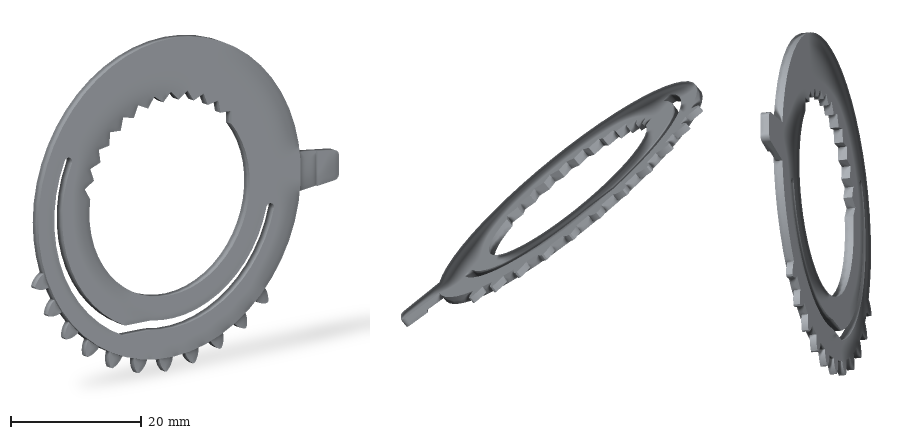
import cadquery as cq
import math

plate_thickness = 1.4
thin_thickness = 1.05

outer_radius = 25.35
hole_radius = 15.5

notch_count = 12
notch_pitch = 11.0
notch_first_angle = 14.0
notch_tip_radius = 16.9

overlap = 0.6

tooth_count = 11
tooth_pitch = 360 / 32
tooth_middle_angle = 282.1
tooth_tip_radius = 27.6
tooth_base_half_width = 1.3
tooth_flank_radius = 26.7
tooth_flank_half_width = 0.9
tooth_tip_half_width = 0.2

slot_width = 1.5
short_arc_radius = 20.0
long_arc_radius = short_arc_radius + slot_width
short_arc_end_angle = 193.8
long_arc_end_angle = 24.4 + 360
level_stretch_height = -19.65

tab_tip = 32.75
tab_tip_half_width = 2.3
tab_root = 25.1
tab_root_half_width = 3.15
tab_inner_end = 23.4
tab_corner_radius = 0.95
tab_neck_end = 28.5

face = cq.Plane(origin=(0, 0, 0), xDir=(0, -1, 0), normal=(-1, 0, 0))


def polar(radius, angle):
    """Face-plane point at a radius and an angle in degrees."""
    turn = math.radians(angle)
    return (radius * math.cos(turn), radius * math.sin(turn))


def angle_at_height(radius, height):
    """Angle, in the lower -Y quarter, where a circle reaches a height."""
    return 360 + math.degrees(math.asin(height / radius))


def plate(outline, thickness):
    """Extrude a face-plane outline from the -X face toward +X."""
    return outline.extrude(-thickness)


def make_tooth(angle):
    """One gear tooth with convex flanks, pointing outward at the given angle."""
    base = outer_radius - overlap
    outline = (
        cq.Workplane(face.rotated((0, 0, angle)))
        .moveTo(base, -tooth_base_half_width)
        .lineTo(outer_radius, -tooth_base_half_width)
        .threePointArc(
            (tooth_flank_radius, -tooth_flank_half_width),
            (tooth_tip_radius, -tooth_tip_half_width),
        )
        .lineTo(tooth_tip_radius, tooth_tip_half_width)
        .threePointArc(
            (tooth_flank_radius, tooth_flank_half_width),
            (outer_radius, tooth_base_half_width),
        )
        .lineTo(base, tooth_base_half_width)
        .close()
    )
    return plate(outline, thin_thickness)


def make_tab():
    """Tapered tab with rounded tip corners and a neck thinned from the +X face."""
    outline = cq.Workplane(face).polyline([
        (-tab_inner_end, -tab_root_half_width),
        (-tab_root, -tab_root_half_width),
        (-tab_tip, -tab_tip_half_width),
        (-tab_tip, tab_tip_half_width),
        (-tab_root, tab_root_half_width),
        (-tab_inner_end, tab_root_half_width),
    ]).close()
    tab = plate(outline, plate_thickness)
    tab = tab.faces(">Y").edges("|X").fillet(tab_corner_radius)
    neck_relief = cq.Workplane("XY").box(
        plate_thickness - thin_thickness,
        tab_neck_end - tab_inner_end,
        2 * tab_root_half_width,
        centered=(False, False, True),
    )
    return tab.cut(neck_relief.translate((thin_thickness, tab_inner_end, 0)))


def make_notch(angle):
    """Right-angled V whose tip points outward; it meets its neighbours at the hole rim."""
    reach = notch_tip_radius - hole_radius + overlap
    outline = cq.Workplane(face.rotated((0, 0, angle))).polyline([
        (notch_tip_radius, 0),
        (notch_tip_radius - reach, reach),
        (notch_tip_radius - reach, -reach),
    ]).close()
    return plate(outline, plate_thickness)


def make_slot():
    """Slot of constant width that steps outward from the short arc to the long arc."""
    half = slot_width / 2
    short_inner = short_arc_radius - half
    short_outer = short_arc_radius + half
    long_inner = long_arc_radius - half
    long_outer = long_arc_radius + half
    upper = level_stretch_height + half
    lower = level_stretch_height - half

    def arc(outline, radius, start, end):
        return outline.threePointArc(polar(radius, (start + end) / 2), polar(radius, end))

    outline = cq.Workplane(face).moveTo(*polar(short_outer, short_arc_end_angle))
    outline = arc(outline, short_outer, short_arc_end_angle, angle_at_height(short_outer, lower))
    outline = outline.lineTo(*polar(long_outer, angle_at_height(long_outer, lower)))
    outline = arc(outline, long_outer, angle_at_height(long_outer, lower), long_arc_end_angle)
    outline = outline.lineTo(*polar(long_inner, long_arc_end_angle))
    outline = arc(outline, long_inner, long_arc_end_angle, angle_at_height(long_inner, upper))
    outline = outline.lineTo(*polar(short_inner, angle_at_height(short_inner, upper)))
    outline = arc(outline, short_inner, angle_at_height(short_inner, upper), short_arc_end_angle)
    slot = plate(outline.close(), plate_thickness)

    round_ends = cq.Workplane(face).pushPoints([
        polar(short_arc_radius, short_arc_end_angle),
        polar(long_arc_radius, long_arc_end_angle),
    ]).circle(half)
    return slot.union(plate(round_ends, plate_thickness))


result = make_tab().union(plate(cq.Workplane(face).circle(outer_radius), plate_thickness))
for index in range(tooth_count):
    steps_from_middle = index - (tooth_count - 1) / 2
    result = result.union(make_tooth(tooth_middle_angle + steps_from_middle * tooth_pitch))

result = result.cut(plate(cq.Workplane(face).circle(hole_radius), plate_thickness))
for index in range(notch_count):
    result = result.cut(make_notch(notch_first_angle + index * notch_pitch))
result = result.cut(make_slot())